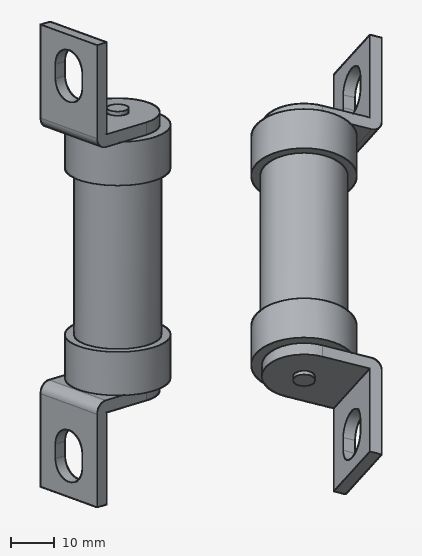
import cadquery as cq

total_length = 111.6
cap_span = 61.2

tube_diameter = 20.0
cap_diameter = 24.1
cap_height = 10.5

tag_width = 19.2
tag_thickness = 3.0
bend_radius = 2.7
slot_width = 9.0
slot_length = 12.5
slot_end_distance = 9.9

rivet_diameter = 5.0
rivet_head_height = 1.0

half_length = total_length / 2
cap_face = cap_span / 2
tag_inner_y = -cap_diameter / 2
tag_outer_y = tag_inner_y - tag_thickness


def cylinder(diameter, bottom, height):
    return cq.Workplane("XY").workplane(offset=bottom).circle(diameter / 2).extrude(height)


def make_tag():
    """Upper tag: round-ended foot on the cap and a slotted upright leg."""
    foot_end = cylinder(tag_width, cap_face, tag_thickness)
    foot = (
        cq.Workplane("XY", origin=(0, tag_outer_y / 2, cap_face))
        .rect(tag_width, -tag_outer_y)
        .extrude(tag_thickness)
    )
    leg_height = half_length - cap_face
    leg = (
        cq.Workplane("XY", origin=(0, tag_outer_y + tag_thickness / 2, cap_face))
        .rect(tag_width, tag_thickness)
        .extrude(leg_height)
    )
    bent_strip = foot.union(leg).edges("|X and <Y and <Z").fillet(bend_radius)
    slot = (
        cq.Workplane("XZ", origin=(0, tag_inner_y, half_length - slot_end_distance))
        .slot2D(slot_length, slot_width, 90)
        .extrude(tag_thickness)
    )
    return bent_strip.union(foot_end).cut(slot)


def make_upper_end():
    """Cap, tag and rivet head at the top of the tube."""
    cap = cylinder(cap_diameter, cap_face - cap_height, cap_height)
    rivet = cylinder(rivet_diameter, cap_face, tag_thickness + rivet_head_height)
    return cap.union(make_tag()).union(rivet)


tube_length = cap_span - 2 * cap_height
tube = cylinder(tube_diameter, -tube_length / 2, tube_length)
upper_end = make_upper_end()
lower_end = upper_end.mirror("XY")

result = tube.union(upper_end).union(lower_end)